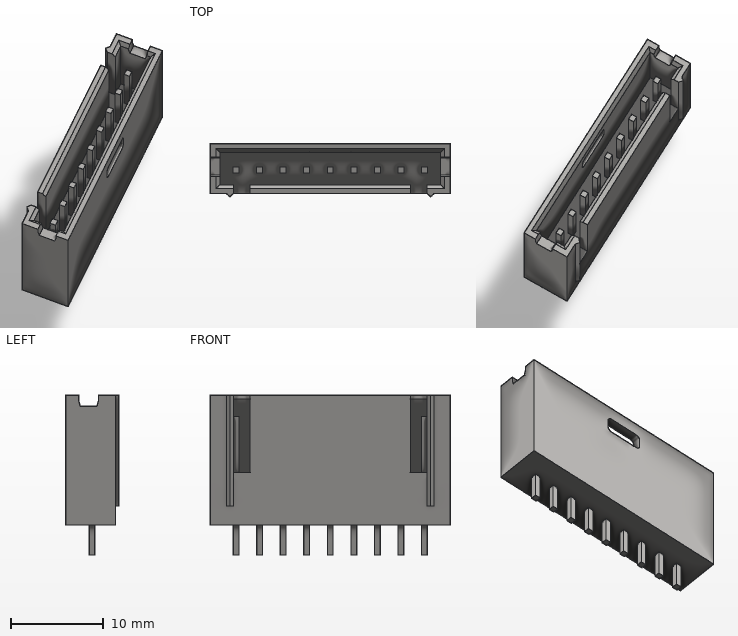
import cadquery as cq

PIN_COUNT = 9
PITCH = 2.54
LENGTH = 25.91
DEPTH = 5.40
HEIGHT = 14.0
BACK_Y = 2.85
FRONT_Y = BACK_Y - DEPTH
MID_Y = (BACK_Y + FRONT_Y) / 2

END_WALL = 1.04
LONG_WALL = 0.95
FLOOR_Z = 5.65
MOUTH_BEVEL = 0.39

PIN_SIZE = 0.64
PIN_TAIL = 3.25
PIN_TOP_Z = 11.7

RIDGE_HEIGHT = 0.35
RIDGE_WIDTH = 0.78
RIDGE_BOTTOM_Z = 2.05

OPENING_WIDTH = 1.78
OPENING_END_MARGIN = 2.52
OPENING_OUTER_X = LENGTH / 2 - OPENING_END_MARGIN

NOTCH_WIDTH = 2.11
NOTCH_DEPTH = 1.17
NOTCH_STRAIGHT = 0.58
NOTCH_TAPER = 0.16
NOTCH_FROM_BACK = 2.48
NOTCH_Y = BACK_Y - NOTCH_FROM_BACK

WINDOW_WIDTH = 4.53
WINDOW_HEIGHT = 1.95
WINDOW_TOP_GAP = 1.65
WINDOW_RADIUS = 0.5

SIDES = (-1, 1)


def block(x_size, y_size, z_bottom, z_top, x=0, y=0):
    """Box centred on (x, y) between two heights."""
    base = cq.Workplane("XY").box(x_size, y_size, z_top - z_bottom, centered=(True, True, False))
    return base.translate((x, y, z_bottom))


def make_cavity():
    inner_length = LENGTH - 2 * END_WALL
    inner_depth = DEPTH - 2 * LONG_WALL
    pocket = block(inner_length, inner_depth, FLOOR_Z, HEIGHT, y=MID_Y)
    mouth = (
        cq.Workplane("XY", origin=(0, MID_Y, HEIGHT - MOUTH_BEVEL))
        .rect(inner_length, inner_depth)
        .workplane(offset=MOUTH_BEVEL)
        .rect(inner_length + 2 * MOUTH_BEVEL, inner_depth + 2 * MOUTH_BEVEL)
        .loft(ruled=True)
    )
    return pocket.union(mouth)


def make_front_opening(side):
    """Slot from the housing top to the cavity floor, through the front wall."""
    x = side * (OPENING_OUTER_X - OPENING_WIDTH / 2)
    return block(OPENING_WIDTH, LONG_WALL, FLOOR_Z, HEIGHT, x=x, y=FRONT_Y + LONG_WALL / 2)


def make_end_notches():
    """One profile along X that notches both end walls."""
    half_top = NOTCH_WIDTH / 2
    half_bottom = half_top - NOTCH_TAPER
    taper_z = HEIGHT - NOTCH_STRAIGHT
    bottom_z = HEIGHT - NOTCH_DEPTH
    return (
        cq.Workplane("YZ")
        .moveTo(NOTCH_Y - half_top, HEIGHT)
        .lineTo(NOTCH_Y - half_top, taper_z)
        .lineTo(NOTCH_Y - half_bottom, bottom_z)
        .lineTo(NOTCH_Y + half_bottom, bottom_z)
        .lineTo(NOTCH_Y + half_top, taper_z)
        .lineTo(NOTCH_Y + half_top, HEIGHT)
        .close()
        .extrude(LENGTH / 2, both=True)
    )


def make_back_window():
    window_z = HEIGHT - WINDOW_TOP_GAP - WINDOW_HEIGHT / 2
    return (
        cq.Workplane("XY")
        .box(WINDOW_WIDTH, LONG_WALL, WINDOW_HEIGHT)
        .edges("|Y")
        .fillet(WINDOW_RADIUS)
        .translate((0, BACK_Y - LONG_WALL / 2, window_z))
    )


def make_ridge(side):
    """Triangular ridge on the front face, its inner edge flush with the opening."""
    ridge_x = side * (OPENING_OUTER_X + RIDGE_WIDTH / 2)
    return (
        cq.Workplane("XY", origin=(ridge_x, FRONT_Y, RIDGE_BOTTOM_Z))
        .moveTo(-RIDGE_WIDTH / 2, 0)
        .lineTo(0, -RIDGE_HEIGHT)
        .lineTo(RIDGE_WIDTH / 2, 0)
        .close()
        .extrude(HEIGHT - RIDGE_BOTTOM_Z)
    )


def make_pin(index):
    x = (index - (PIN_COUNT - 1) / 2) * PITCH
    return block(PIN_SIZE, PIN_SIZE, -PIN_TAIL, PIN_TOP_Z, x=x)


housing = block(LENGTH, DEPTH, 0, HEIGHT, y=MID_Y)
housing = housing.cut(make_cavity()).cut(make_end_notches()).cut(make_back_window())
for side in SIDES:
    housing = housing.cut(make_front_opening(side)).union(make_ridge(side))
for index in range(PIN_COUNT):
    housing = housing.union(make_pin(index))

result = housing